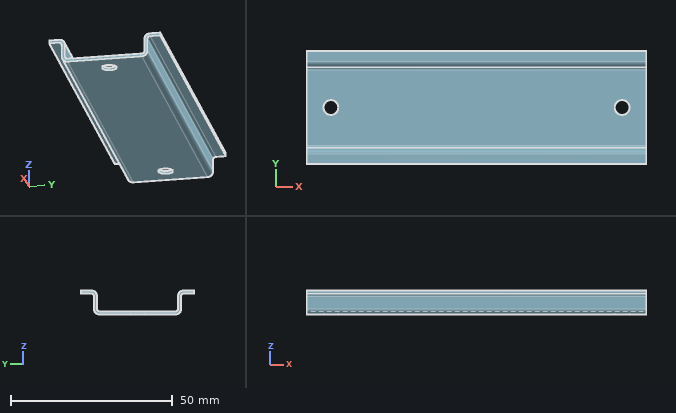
import cadquery as cq

rail_length = 105.0
rail_width = 35.0
rail_height = 7.5
thickness = 1.0
channel_width = 27.0
inner_bend_radius = 0.8
outer_bend_radius = inner_bend_radius + thickness

hole_diameter = 4.5
hole_spacing = 90.0


def hat_profile():
    """Closed hat section in the YZ plane with sharp corners, resting on Z = 0."""
    flange_edge = rail_width / 2
    wall_outside = channel_width / 2
    wall_inside = wall_outside - thickness
    flange_underside = rail_height - thickness
    right_half = [
        (wall_outside, 0),
        (wall_outside, flange_underside),
        (flange_edge, flange_underside),
        (flange_edge, rail_height),
        (wall_inside, rail_height),
        (wall_inside, thickness),
    ]
    left_half = [(-y, z) for y, z in reversed(right_half)]
    return cq.Workplane("YZ").polyline(right_half + left_half).close()


def bend_edges(rail, wall_offset, z):
    """Lengthwise edges on both sides of the rail at a given wall offset and height."""
    selector = None
    for side in (-1, 1):
        edge = cq.selectors.NearestToPointSelector((0, side * wall_offset, z))
        selector = edge if selector is None else selector + edge
    return rail.edges(selector)


def round_bends(rail):
    """Round the four bends, each with concentric inner and outer radii."""
    wall_outside = channel_width / 2
    wall_inside = wall_outside - thickness
    rail = bend_edges(rail, wall_outside, 0).fillet(outer_bend_radius)
    rail = bend_edges(rail, wall_inside, rail_height).fillet(outer_bend_radius)
    rail = bend_edges(rail, wall_inside, thickness).fillet(inner_bend_radius)
    return bend_edges(rail, wall_outside, rail_height - thickness).fillet(inner_bend_radius)


def drill_mounting_holes(rail):
    """Two through holes on the centre line of the channel floor."""
    hole_centres = [(-hole_spacing / 2, 0), (hole_spacing / 2, 0)]
    drills = cq.Workplane("XY").pushPoints(hole_centres).circle(hole_diameter / 2).extrude(rail_height)
    return rail.cut(drills)


rail = hat_profile().extrude(rail_length / 2, both=True)
rail = round_bends(rail)
result = drill_mounting_holes(rail)